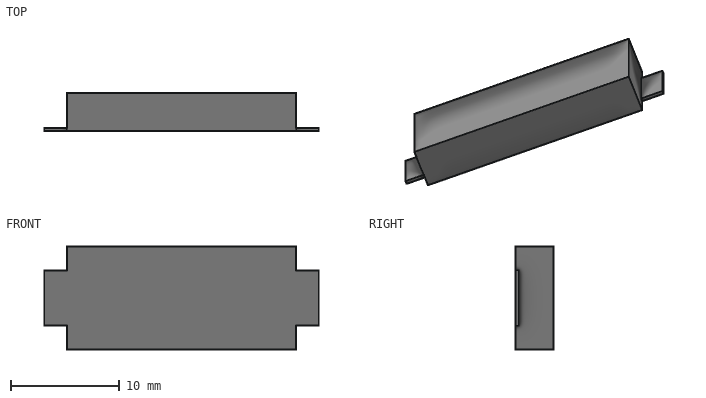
import cadquery as cq

overall_length = 25.4
body_depth = 3.56
body_height = 9.53

body_length = 21.2

tab_height = 5.1
tab_thickness = 0.3


def make_body():
    """Rectangular block centred on X and Z, with its -Y face at Y = 0."""
    return cq.Workplane("XY").box(body_length, body_depth, body_height, centered=(True, False, True))


def make_tabs():
    """One thin strip running the full length, leaving a tab beyond each end of the body."""
    return cq.Workplane("XY").box(overall_length, tab_thickness, tab_height, centered=(True, False, True))


result = make_body().union(make_tabs())